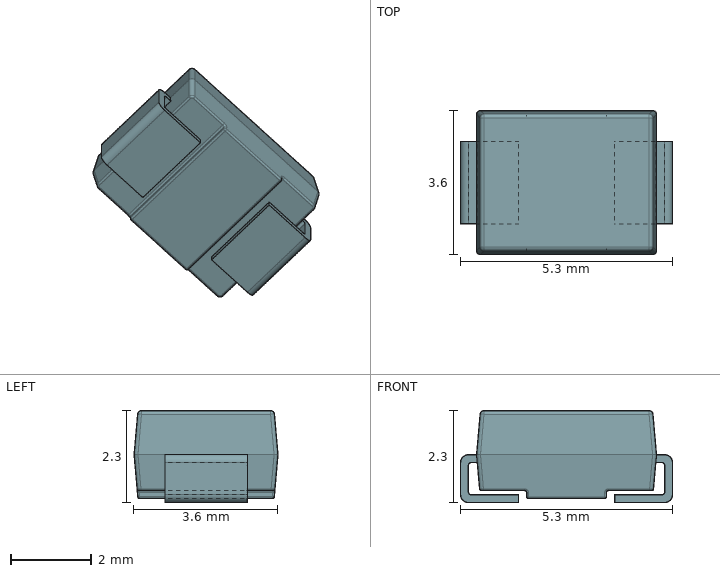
import cadquery as cq

body_length = 4.5
body_width = 3.6
body_top = 2.3
parting_height = 1.2
draft_angle = 5.0
corner_radius = 0.1

pad_length = 2.0
pad_bottom = 0.1
step_bottom = 0.3
step_corner_radius = 0.05
bottom_edge_radius = 0.05

overall_length = 5.3
lead_width = 2.06
lead_thickness = 0.2
lead_outer_radius = 0.2
lead_inner_radius = 0.07
foot_length = 1.45
lead_embed = 0.2

pick_margin = 0.025


def pick_zone(x_min, x_max, z_min, z_max):
    """Selector for the edges centred in an X-Z window, over the full width of the body."""
    return cq.selectors.BoxSelector(
        (x_min - pick_margin, -body_width, z_min - pick_margin),
        (x_max + pick_margin, body_width, z_max + pick_margin),
    )


def body_half(height):
    """Drafted block standing on the XY plane with its four upright corners rounded."""
    return (
        cq.Workplane("XY")
        .rect(body_length, body_width)
        .extrude(height, taper=draft_angle)
        .edges("not(|X or |Y)")
        .fillet(corner_radius)
    )


def upper_body():
    half = body_half(body_top - parting_height).translate((0, 0, parting_height))
    return half.faces(">Z").edges().fillet(corner_radius)


def end_step(side):
    """Block removed below one end of the body to leave the raised step."""
    length = (body_length - pad_length) / 2
    height = step_bottom - pad_bottom
    center_x = side * (pad_length + length) / 2
    center_z = pad_bottom + height / 2
    return cq.Workplane("XY").box(length, body_width, height).translate((center_x, 0, center_z))


def lower_body():
    half = body_half(parting_height - pad_bottom).mirror("XY").translate((0, 0, parting_height))
    for side in (-1, 1):
        half = half.cut(end_step(side))

    for side in (-1, 1):
        pad_side = side * pad_length / 2
        corner = pick_zone(pad_side, pad_side, step_bottom, step_bottom)
        half = half.edges("|Y").edges(corner).fillet(step_corner_radius)

    underside = pick_zone(-body_length / 2, body_length / 2, pad_bottom, step_bottom)
    blend_lines = "|Y exc (<Z or <X or >X)"
    return half.edges(underside).edges(f"not ({blend_lines})").fillet(bottom_edge_radius)


def lead(side):
    """C-shaped terminal leaving the body at the parting plane and folding underneath."""
    outer_x = overall_length / 2
    inner_x = outer_x - lead_thickness
    root_x = body_length / 2 - lead_embed
    foot_x = outer_x - foot_length
    arm_bottom = parting_height - lead_thickness
    strip = (
        cq.Workplane("XZ")
        .moveTo(root_x, parting_height)
        .lineTo(outer_x, parting_height)
        .lineTo(outer_x, 0)
        .lineTo(foot_x, 0)
        .lineTo(foot_x, lead_thickness)
        .lineTo(inner_x, lead_thickness)
        .lineTo(inner_x, arm_bottom)
        .lineTo(root_x, arm_bottom)
        .close()
        .extrude(lead_width / 2, both=True)
    )
    inner_bends = pick_zone(inner_x, inner_x, lead_thickness, arm_bottom)
    strip = strip.edges("|Y").edges(inner_bends).fillet(lead_inner_radius)
    strip = strip.faces(">X").edges("|Y").fillet(lead_outer_radius)
    if side < 0:
        strip = strip.mirror("YZ")
    return strip


result = upper_body().union(lower_body())
for lead_side in (-1, 1):
    result = result.union(lead(lead_side))